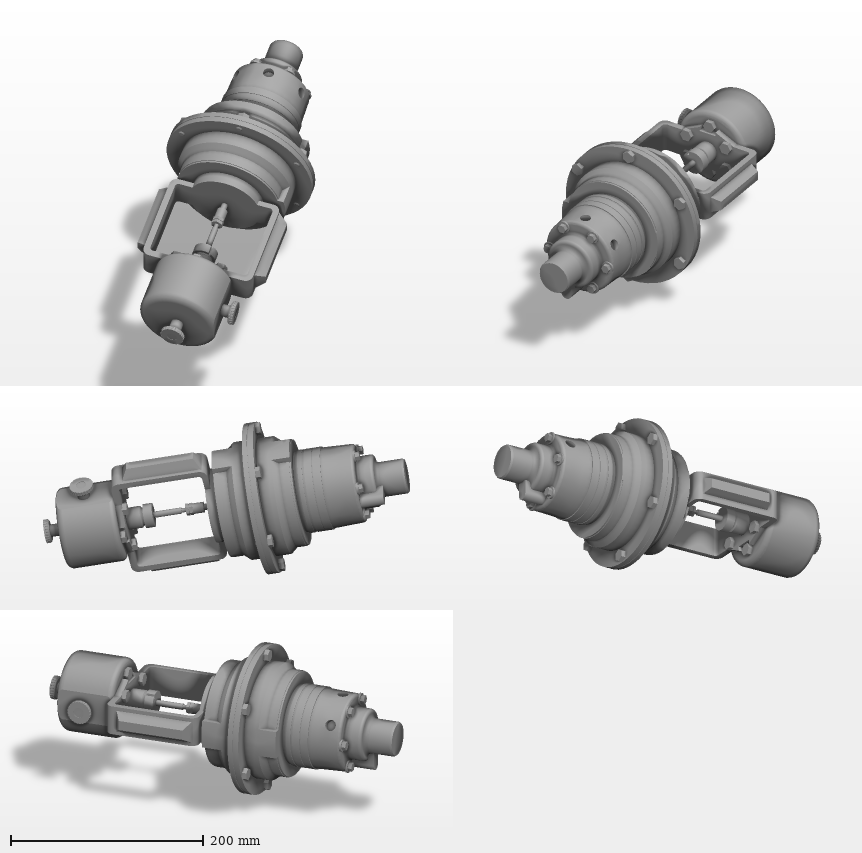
import cadquery as cq
import math

overall_length = 383.2
eps = 0.8

nozzle_r = 18.5
nozzle_front = 352.5
nozzle_chamfer = 1.0
nozzle_chamfer_length = 2.0
nozzle_fillet = 4.5
collar_r = 27.5
collar_fillet = 3.5
cap_rear = 334.5
cap_rear_r = 41.5
cap_front = 299.7
cap_front_r = 42.5
cap_fillet = 3.5
cap_collar_fillet = 2.3
band_r = 43.5
band_front = 273.0
band_chamfer = 1.0
band_chamfer_length = 2.5
neck_r = 42.0
band_joint_y = 291.0
band_groove_y = 281.3
band_groove_width = 2.3

drum_rear = 271.0
drum_front = 188.5
drum_end_r = 56.5
drum_r = 62.0
drum_edge = 2.0
drum_edge_step = 0.8
drum_rear_cone_y = 258.5
drum_front_cone_y = 202.7
drum_cone = 7.0
flange_r = 159.0 / 2
flange_rear = 236.0
flange_front = 224.2
flange_joint_y = 230.0
joint_width = 1.0
joint_depth = 0.57
lug_half_width = 15.0

hub_r = 38.7
yoke_half_x = 59.8
yoke_half_z = 15.7
yoke_rear = 182.0
yoke_front = 80.5
yoke_wall = 6.5
yoke_rear_wall = 5.7
hub_front = yoke_rear - yoke_rear_wall
yoke_outer_r = 8.0
yoke_inner_r = 4.0
rib_out = 70.0
rib_y = 135.0
rib_top_length = 71.0
rib_top_width = 10.5
rib_slope_left = 0.37
rib_slope_right = 0.62

stem_r = 3.25
coupling_r = 11.0 / 2
coupling_rear = 168.2
nut_rear = 156.7
coupling_front = 149.5
nut_gap = 0.8
nut_gap_r = 5.0
waist_front = 144.5
waist_r = 2.3
ring_r = 12.5
ring_rear = 115.0
ring_front = 105.5
ring_slot_x = 6.5
ring_slot_width = 2.3
ring_slot_depth = 5.0
gland_neck_r = 9.5
gland_r = 11.5
gland_rear = 103.5
gland_chamfer = 1.5

plate_rear = 87.5
plate_half_x = 32.2
plate_half_z = 26.0
plate_notch_half = 10.0
plate_notch_z = 21.5

pot_r = 42.5
pot_rear = yoke_front
pot_front = 18.0
pot_flat = 39.0
pot_rear_fillet = 5.7
pot_front_fillet = 7.3
knob_r = 25.0 / 2
knob_thickness = 5.7
knob_bevel = 1.5
knob_stem_r = 6.5
knob_face_r = 11.0 / 2
knob_face_depth = 0.5
knob_teeth = 24
tooth_notch_r = 0.57
side_knob_y = 48.5
side_knob_x = 54.0


def turned(points):
    """Solid of revolution about Y from (radius, y) points along its outside."""
    outline = [(0, points[0][1])] + points + [(0, points[-1][1])]
    return cq.Workplane("XY").polyline(outline).close().revolve(360, (0, 0), (0, 1))


def rod(radius, front, rear, x=0.0, z=0.0):
    """Cylinder along Y."""
    return turned([(radius, front), (radius, rear)]).translate((x, 0, z))


def polar(radius, angle_degrees):
    """X and Z of a point on a circle around the Y axis."""
    angle = math.radians(angle_degrees)
    return radius * math.cos(angle), radius * math.sin(angle)


def hex_prism(corner_r, front, rear, x=0.0, z=0.0, corner_angle=0.0):
    """Hexagonal prism along Y; one corner points at corner_angle from +X."""
    corners = [polar(corner_r, corner_angle + 60 * side) for side in range(6)]
    prism = cq.Workplane("XZ").polyline(corners).close().extrude(front - rear)
    return prism.translate((x, front, z))


def cut_ring_groove(body, outer_r, y, width):
    """Shallow groove around a cylinder, centred on y."""
    front, rear = y - width / 2, y + width / 2
    ring = rod(outer_r + eps, front, rear).cut(rod(outer_r - joint_depth, front, rear))
    return body.cut(ring)


def box_between(x0, x1, y0, y1, z0, z1):
    """Box given by its limits on each axis."""
    return cq.Workplane("XY").box(x1 - x0, y1 - y0, z1 - z0, centered=False).translate((x0, y0, z0))


def make_nozzle_and_cap():
    """Nozzle, collar and tapered cap in one outline with its fillets as arcs."""
    mid = 1 - math.sqrt(0.5)
    cap_edge = mid * cap_fillet
    cap_root = mid * cap_collar_fillet
    collar_edge = mid * collar_fillet
    nozzle_root = mid * nozzle_fillet
    outline = (
        cq.Workplane("XY").moveTo(0, drum_rear - eps)
        .lineTo(neck_r, drum_rear - eps)
        .lineTo(neck_r, band_front)
        .lineTo(band_r - band_chamfer, band_front)
        .lineTo(band_r, band_front + band_chamfer_length)
        .lineTo(band_r, cap_front)
        .lineTo(cap_front_r, cap_front)
        .lineTo(cap_rear_r, cap_rear - cap_fillet)
        .threePointArc((cap_rear_r - cap_edge, cap_rear - cap_edge), (cap_rear_r - cap_fillet, cap_rear))
        .lineTo(collar_r + cap_collar_fillet, cap_rear)
        .threePointArc((collar_r + cap_root, cap_rear + cap_root), (collar_r, cap_rear + cap_collar_fillet))
        .lineTo(collar_r, nozzle_front - collar_fillet)
        .threePointArc(
            (collar_r - collar_edge, nozzle_front - collar_edge), (collar_r - collar_fillet, nozzle_front))
        .lineTo(nozzle_r + nozzle_fillet, nozzle_front)
        .threePointArc(
            (nozzle_r + nozzle_root, nozzle_front + nozzle_root), (nozzle_r, nozzle_front + nozzle_fillet))
        .lineTo(nozzle_r, overall_length - nozzle_chamfer_length)
        .lineTo(nozzle_r - nozzle_chamfer, overall_length)
        .lineTo(0, overall_length).close()
    )
    body = outline.revolve(360, (0, 0), (0, 1))
    body = cut_ring_groove(body, band_r, band_joint_y, joint_width)
    return cut_ring_groove(body, band_r, band_groove_y, band_groove_width)


def cut_cap_holes(body):
    """Three blind radial holes around the upper half of the cap."""
    hole_r, hole_y, hole_floor = 5.7, 322.5, 34.5
    drill = cq.Workplane("XY").circle(hole_r).extrude(cap_front_r).translate((0, hole_y, hole_floor))
    for turn in (-60, 0, 60):
        body = body.cut(drill.rotate((0, 0, 0), (0, 1, 0), turn))
    return body


def add_cap_screws(body):
    """Six washered screws on the rear face of the cap."""
    circle_r, washer_r, head_corner_r = 71.5 / 2, 6.5, 9.5 / 2
    washer_thickness, head_height = 1.5, 4.2
    washer_rear = cap_rear + washer_thickness
    head_rear = washer_rear + head_height
    for angle in range(0, 360, 60):
        x, z = polar(circle_r, angle)
        body = body.union(rod(washer_r, cap_rear - eps, washer_rear, x, z))
        body = body.union(hex_prism(head_corner_r, washer_rear - eps, head_rear, x, z))
    return body


def make_rear_lug():
    """Round-ended block under the collar."""
    width, lug_rear, lug_bottom = 12.3, 359.0, -38.0
    round_z = lug_bottom + width / 2
    lug_front = cap_rear - eps
    lug = box_between(-width / 2, width / 2, lug_front, lug_rear, round_z, -nozzle_r + eps)
    return lug.union(rod(width / 2, lug_front, lug_rear, 0, round_z))


def make_drum():
    """Double-coned drum with its side lugs and its two-part flange."""
    edge_r = drum_end_r - drum_edge_step
    drum = turned([
        (edge_r, drum_front),
        (edge_r, drum_front + drum_edge),
        (drum_end_r, drum_front + drum_edge),
        (drum_end_r, drum_front_cone_y),
        (drum_r, drum_front_cone_y + drum_cone),
        (drum_r, drum_rear_cone_y - drum_cone),
        (drum_end_r, drum_rear_cone_y),
        (drum_end_r, drum_rear - drum_edge),
        (edge_r, drum_rear - drum_edge),
        (edge_r, drum_rear),
    ])
    right = rod(drum_r, drum_front, drum_rear).intersect(box_between(
        0, drum_r, drum_front, drum_rear, -lug_half_width, lug_half_width))
    left = rod(drum_end_r, drum_front, drum_rear).intersect(box_between(
        -drum_r, 0, drum_front, drum_rear, -lug_half_width, lug_half_width))
    flange = rod(flange_r, flange_front, flange_rear)
    flange = cut_ring_groove(flange, flange_r, flange_joint_y, joint_width)
    return drum.union(right).union(left).union(flange)


def add_flange_bolts(body):
    """Six hex bolts: heads behind the flange, tips just proud of its front."""
    circle_r, head_corner_r, head_height = 145.3 / 2, 13.5 / 2, 5.0
    tip_r, tip_height, tip_chamfer = 3.5, 1.0, 1.0
    tip = flange_front - tip_height
    for angle in range(30, 390, 60):
        x, z = polar(circle_r, angle)
        head = hex_prism(head_corner_r, flange_rear - eps, flange_rear + head_height, x, z, 90)
        end = turned([
            (tip_r - tip_chamfer, tip),
            (tip_r, tip + tip_chamfer),
            (tip_r, flange_front + eps),
        ])
        body = body.union(head).union(end.translate((x, 0, z)))
    return body


def make_yoke():
    """Rectangular frame with rounded corners."""
    width = 2 * yoke_half_x
    length = yoke_rear - yoke_front
    inner_front, inner_rear = plate_rear, hub_front
    frame = cq.Workplane("XY").box(width, length, 2 * yoke_half_z).edges("|Z").fillet(yoke_outer_r)
    frame = frame.translate((0, (yoke_rear + yoke_front) / 2, 0))
    window = cq.Workplane("XY").box(width - 2 * yoke_wall, inner_rear - inner_front, 3 * yoke_half_z)
    window = window.edges("|Z").fillet(yoke_inner_r)
    return frame.cut(window.translate((0, (inner_rear + inner_front) / 2, 0)))


def make_rib(side, slope):
    """Tapered rib on one outer side of the yoke (side is -1 or +1)."""
    height = rib_out - yoke_half_x + eps
    spread = 2 * height * slope
    rib = (
        cq.Workplane("YZ").rect(rib_top_length + spread, rib_top_width + spread)
        .workplane(offset=side * height).rect(rib_top_length, rib_top_width).loft(ruled=True)
    )
    return rib.translate((side * (rib_out - height), rib_y, 0))


def make_stem():
    """Stem with its coupling, lock nuts and waist."""
    stem = rod(stem_r, coupling_rear, hub_front + eps)
    stem = stem.union(rod(coupling_r, nut_rear, coupling_rear))
    nut_length = (nut_rear - coupling_front - nut_gap) / 2
    nut_corner_r = coupling_r / math.cos(math.pi / 6)
    stem = stem.union(rod(nut_gap_r, coupling_front, nut_rear))
    for front in (coupling_front, nut_rear - nut_length):
        stem = stem.union(hex_prism(nut_corner_r, front, front + nut_length, 0, 0, 90))
    return stem.union(rod(waist_r, waist_front, coupling_front)).union(rod(stem_r, ring_front, waist_front))


def make_gland():
    """Slotted ring on the gland body."""
    ring = rod(ring_r, ring_front, ring_rear)
    slot = box_between(
        ring_slot_x - ring_slot_width / 2, ring_slot_x + ring_slot_width / 2,
        ring_front, ring_rear, ring_r - ring_slot_depth, ring_r)
    body = turned([
        (gland_r, pot_rear - eps),
        (gland_r, gland_rear - gland_chamfer),
        (gland_neck_r, gland_rear),
        (gland_neck_r, ring_front + eps),
    ])
    return ring.cut(slot).union(body)


def make_plate():
    """Eight-sided plate behind the pot, notched for the two pot screws."""
    corners = [
        (plate_half_x, yoke_half_z), (plate_notch_half, plate_half_z),
        (plate_notch_half, plate_notch_z), (-plate_notch_half, plate_notch_z),
        (-plate_notch_half, plate_half_z), (-plate_half_x, yoke_half_z),
    ]
    corners += [(-x, -z) for x, z in corners]
    plate = cq.Workplane("XZ").polyline(corners).close().extrude(pot_rear - eps - plate_rear)
    return plate.translate((0, pot_rear - eps, 0))


def add_plate_screws(body):
    """Four hex heads on the plate and two lower ones in its notches."""
    head_corner_r, plate_head, pot_head = 7.0, 4.5, 5.0
    screw_x, screw_z, pot_screw_z = 24.0, 13.0, 28.0
    for side in (-1, 1):
        for x in (-screw_x, screw_x):
            body = body.union(hex_prism(
                head_corner_r, plate_rear - eps, plate_rear + plate_head, x, side * screw_z))
        body = body.union(hex_prism(
            head_corner_r, pot_rear - eps, pot_rear + pot_head, 0, side * pot_screw_z))
    return body


def make_pot():
    """Rounded pot with a flat on +X."""
    pot = rod(pot_r, pot_front, pot_rear)
    pot = pot.faces(">Y").edges().fillet(pot_rear_fillet).faces("<Y").edges().fillet(pot_front_fillet)
    return pot.cut(box_between(pot_flat, pot_r + eps, pot_front, pot_rear, -pot_r, pot_r))


def make_knob(stem_length):
    """Knurled knob with its face at Y = 0 and its stem running toward +Y."""
    disc = turned([
        (knob_r, 0),
        (knob_r, knob_thickness - knob_bevel),
        (knob_r - knob_bevel, knob_thickness),
    ])
    disc = disc.cut(rod(knob_face_r, 0, knob_face_depth))
    for tooth in range(knob_teeth):
        x, z = polar(knob_r, 360 / knob_teeth * tooth)
        disc = disc.cut(rod(tooth_notch_r, -eps, knob_thickness + eps, x, z))
    return disc.union(rod(knob_stem_r, knob_thickness - eps, stem_length + eps))


body = cut_cap_holes(make_nozzle_and_cap())
body = add_cap_screws(body)
body = body.union(make_rear_lug()).union(make_drum())
body = add_flange_bolts(body)
body = body.union(rod(hub_r, hub_front, drum_front + eps)).union(make_yoke())
body = body.union(make_rib(-1, rib_slope_left)).union(make_rib(1, rib_slope_right))
body = body.union(make_stem()).union(make_gland())
body = body.union(make_plate())
body = body.union(make_pot())
body = add_plate_screws(body)
body = body.union(make_knob(pot_front))
side_knob = make_knob(side_knob_x - pot_flat).rotate((0, 0, 0), (0, 0, 1), 90)
result = body.union(side_knob.translate((side_knob_x, side_knob_y, 0)))